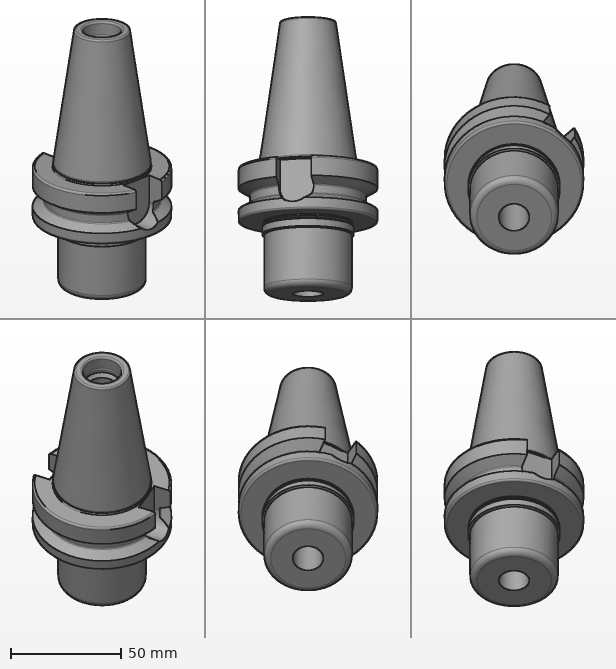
import cadquery as cq

total_height = 125.4

taper_ratio = 7 / 24
gauge_radius = 22.2
gauge_height = 60.0
taper_top_radius = gauge_radius - (total_height - gauge_height) * taper_ratio / 2
taper_top_fillet = 0.9

gauge_land_height = 0.9
undercut_radius = 21.8
undercut_mouth_radius = 22.5

flange_radius = 31.5
flange_top = 57.9
flange_bottom = 33.0
flange_fillet = 1.0
groove_radius = 26.3
groove_upper_edge = 48.5
groove_floor_top = 45.5
groove_floor_bottom = 41.3
groove_lower_edge = 38.4
groove_corner_fillet = 0.6

neck_radius = 20.2
neck_bottom = 32.2
relief_radius = 18.8
relief_top = 31.6

collar_radius = 20.8
collar_top = 31.2
collar_bottom = 26.8
collar_chamfer = 0.5
nose_radius = 20.0
nose_fillet = 3.0

bore_radius = 6.9
counterbore_radius = 8.8
counterbore_depth = 6.3
bore_mouth_fillet = 0.9
step_radius = 8.5
step_taper_length = 1.0
step_length = 2.5
cone_length = 1.8

slot_width = 16.2
slot_bottom = 36.6
slot_floor_distance = 22.3


def revolve_about_z(outline):
    return outline.close().revolve(360, (0, 0, 0), (0, 1, 0))


def make_body():
    undercut_fillet = undercut_mouth_radius - undercut_radius
    outline = (
        cq.Workplane("XZ")
        .lineTo(nose_radius - nose_fillet, 0)
        .radiusArc((nose_radius, nose_fillet), -nose_fillet)
        .lineTo(nose_radius, collar_bottom)
        .lineTo(collar_radius, collar_bottom + collar_chamfer)
        .lineTo(collar_radius, collar_top - collar_chamfer)
        .lineTo(collar_radius - collar_chamfer, collar_top)
        .lineTo(relief_radius, collar_top)
        .lineTo(relief_radius, relief_top)
        .lineTo(neck_radius, neck_bottom)
        .lineTo(neck_radius, flange_bottom)
        .lineTo(flange_radius - flange_fillet, flange_bottom)
        .radiusArc((flange_radius, flange_bottom + flange_fillet), -flange_fillet)
        .lineTo(flange_radius, groove_lower_edge)
        .lineTo(groove_radius, groove_floor_bottom)
        .lineTo(groove_radius, groove_floor_top)
        .lineTo(flange_radius, groove_upper_edge)
        .lineTo(flange_radius, flange_top - flange_fillet)
        .radiusArc((flange_radius - flange_fillet, flange_top), -flange_fillet)
        .lineTo(undercut_mouth_radius, flange_top)
        .radiusArc((undercut_radius, flange_top + undercut_fillet), undercut_fillet)
        .lineTo(gauge_radius, gauge_height - gauge_land_height)
        .lineTo(gauge_radius, gauge_height)
        .lineTo(taper_top_radius, total_height)
        .lineTo(0, total_height)
    )
    body = revolve_about_z(outline).faces(">Z").edges().fillet(taper_top_fillet)
    groove_corners = cq.selectors.BoxSelector(
        (-flange_radius, -flange_radius, groove_lower_edge + groove_corner_fillet),
        (flange_radius, flange_radius, groove_upper_edge - groove_corner_fillet),
    )
    return body.edges(groove_corners).edges("%CIRCLE").fillet(groove_corner_fillet)


def make_bore():
    counterbore_floor = total_height - counterbore_depth
    step_start = counterbore_floor - step_taper_length
    cone_start = counterbore_floor - step_length
    mouth_radius = counterbore_radius + bore_mouth_fillet
    outline = (
        cq.Workplane("XZ")
        .lineTo(bore_radius, 0)
        .lineTo(bore_radius, cone_start - cone_length)
        .lineTo(step_radius, cone_start)
        .lineTo(step_radius, step_start)
        .lineTo(counterbore_radius, counterbore_floor)
        .lineTo(counterbore_radius, total_height - bore_mouth_fillet)
        .radiusArc((mouth_radius, total_height), bore_mouth_fillet)
        .lineTo(0, total_height)
    )
    return revolve_about_z(outline)


def make_drive_slot(side):
    """Round-bottomed slot, open upward and outward, on the side given by its X sign."""
    half_width = slot_width / 2
    arc_center = slot_bottom + half_width
    return (
        cq.Workplane("YZ", origin=(side * slot_floor_distance, 0, 0))
        .moveTo(-half_width, flange_top)
        .lineTo(-half_width, arc_center)
        .threePointArc((0, slot_bottom), (half_width, arc_center))
        .lineTo(half_width, flange_top)
        .close()
        .extrude(side * flange_radius)
    )


result = make_body().cut(make_bore())
for side in (-1, 1):
    result = result.cut(make_drive_slot(side))